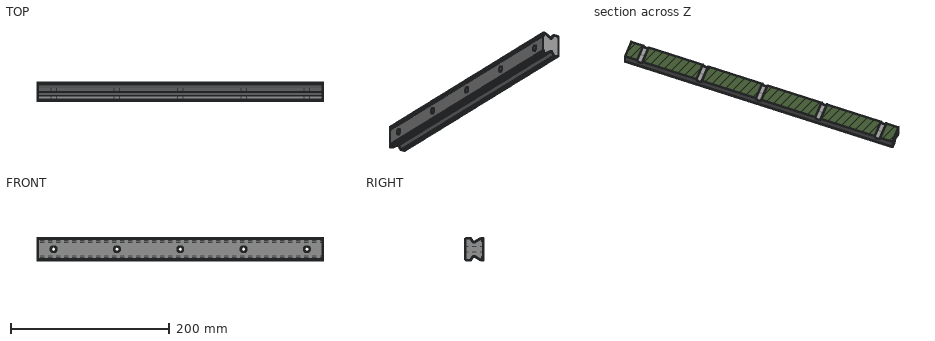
import cadquery as cq

length = 360.0
depth = 23.0
height = 28.0
half_height = height / 2

base_y = -depth / 2
head_y = depth / 2
base_chamfer = 1.5
base_flank_y = base_y + 7.0
valley_y = base_y + 10.5
valley_width = 0.7
valley_depth = 5.5
head_flat = 2.5
flank_bend_y = head_y - 5.5
flank_bend_depth = 1.5
head_chamfer = 0.7

groove_offset = 3.0
groove_width = 1.5
groove_depth = 1.5

hole_diameter = 7.0
hole_count = 5
hole_pitch = 80.0


def half_outline():
    """Upper half of the cross-section as (y, z), from the base to the head."""
    groove_z = half_height - groove_offset
    return [
        (base_y, half_height - base_chamfer),
        (base_y + base_chamfer, half_height),
        (base_flank_y, half_height),
        (valley_y, half_height - valley_depth),
        (valley_y + valley_width, half_height - valley_depth),
        (flank_bend_y, half_height - flank_bend_depth),
        (head_y - head_flat, half_height),
        (head_y - head_chamfer, half_height),
        (head_y, half_height - head_chamfer),
        (head_y, groove_z + groove_width / 2),
        (head_y - groove_depth, groove_z + groove_width / 2),
        (head_y - groove_depth, groove_z - groove_width / 2),
        (head_y, groove_z - groove_width / 2),
    ]


def make_rail():
    """Extrude the cross-section, symmetric about Z = 0, along X."""
    upper = half_outline()
    lower = [(y, -z) for y, z in reversed(upper)]
    profile = cq.Workplane("YZ").polyline(upper + lower).close()
    return profile.extrude(length / 2, both=True)


def make_holes():
    """Row of round cutters passing through the rail along Y."""
    first_x = -hole_pitch * (hole_count - 1) / 2
    centres = [(first_x + i * hole_pitch, 0) for i in range(hole_count)]
    row = cq.Workplane("XZ").pushPoints(centres).circle(hole_diameter / 2)
    return row.extrude(depth, both=True)


result = make_rail().cut(make_holes())